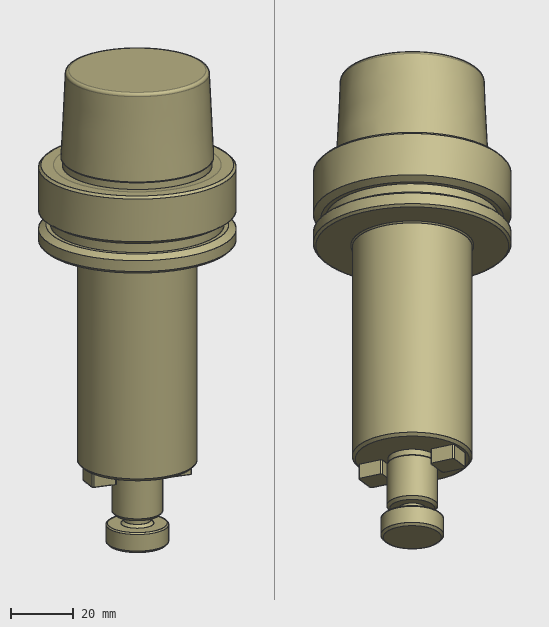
import cadquery as cq

total_height = 158.9
flange_top = 127.1
taper_bottom = 129.7
flange_bottom = 101.2
groove_top = 112.0
groove_bottom = 105.7
groove_slope = 1.5
stem_bottom = 27.2
pilot_bottom = 10.0
head_height = 6.8
key_bottom = 22.2

taper_top_radius = 22.9
taper_bottom_radius = 24.3
neck_radius = 23.8
face_ring_radius = 26.7
flange_radius = 31.5
groove_shoulder_radius = 29.0
groove_radius = 27.6
stem_radius = 19.0
pilot_radius = 8.1
shank_radius = 4.3
head_radius = 10.0

taper_fillet = 1.1
taper_edge = 0.5
face_ring_depth = 0.2
flange_chamfer = 0.8
stem_collar = 0.5
stem_chamfer = 1.0
relief_depth = 0.3
relief_bottom = 25.0
pilot_chamfer = 1.0
shank_collar = 1.0
head_top_chamfer = 0.5
head_bottom_chamfer = 0.8

key_width = 8.5
key_inner = 8.7
key_chamfer = 0.5
key_embed = 1.6


def turned_body():
    """Revolve the complete half-section, from the screw head up to the taper."""
    half_section = [
        (0, 0),
        (head_radius - head_bottom_chamfer, 0),
        (head_radius, head_bottom_chamfer),
        (head_radius, head_height - head_top_chamfer),
        (head_radius - head_top_chamfer, head_height),
        (shank_radius + shank_collar, head_height),
        (shank_radius, head_height + shank_collar),
        (shank_radius, pilot_bottom),
        (pilot_radius - pilot_chamfer, pilot_bottom),
        (pilot_radius, pilot_bottom + pilot_chamfer),
        (pilot_radius, relief_bottom),
        (pilot_radius - relief_depth, relief_bottom + relief_depth),
        (pilot_radius - relief_depth, stem_bottom),
        (stem_radius - stem_chamfer, stem_bottom),
        (stem_radius, stem_bottom + stem_chamfer),
        (stem_radius, flange_bottom - stem_collar),
        (stem_radius + stem_collar, flange_bottom),
        (flange_radius - flange_chamfer, flange_bottom),
        (flange_radius, flange_bottom + flange_chamfer),
        (flange_radius, groove_bottom),
        (groove_shoulder_radius, groove_bottom + groove_slope),
        (groove_radius, groove_bottom + groove_slope),
        (groove_radius, groove_top - groove_slope),
        (groove_shoulder_radius, groove_top - groove_slope),
        (flange_radius, groove_top),
        (flange_radius, flange_top - flange_chamfer),
        (flange_radius - flange_chamfer, flange_top),
        (face_ring_radius, flange_top),
        (neck_radius, flange_top - face_ring_depth),
        (neck_radius, taper_bottom - taper_edge),
        (taper_bottom_radius, taper_bottom),
        (taper_top_radius, total_height),
        (0, total_height),
    ]
    body = cq.Workplane("XZ").polyline(half_section).close().revolve(360, (0, 0), (0, 1))
    return body.faces(">Z").edges().fillet(taper_fillet)


def driving_key(side):
    """Make one key standing below the stem face, on the +Y or -Y side."""
    key_top = stem_bottom + key_embed
    key_centre = side * (key_inner + key_width / 2)
    key = (
        cq.Workplane("XY", origin=(0, key_centre, key_bottom))
        .rect(key_width, key_width)
        .extrude(key_top - key_bottom)
    )
    return key.edges("|Z").chamfer(key_chamfer)


result = turned_body()
for key_side in (-1, 1):
    result = result.union(driving_key(key_side))